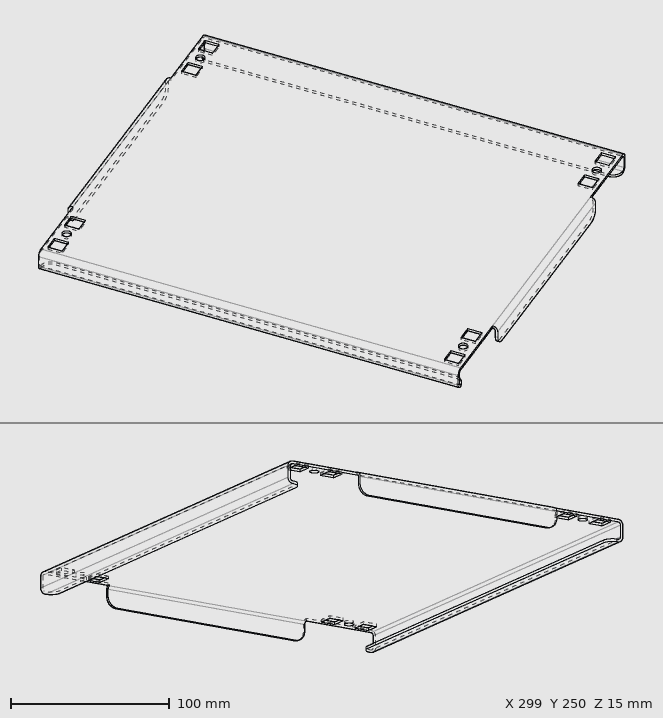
import cadquery as cq

length = 299.0
width = 250.0
height = 15.0

sheet = 1.8
bend_radius = 3.5
inner_radius = bend_radius - sheet
panel_length = length - 2 * bend_radius
lip_depth = 10.2
lip_corner_radius = 6.5

tab_width = 146.8
tab_corner_radius = 7.0

square_size = 10.0
round_diameter = 6.0
hole_edge_distance = 8.0
hole_pitch = 12.5
group_y = 100.2
group_x = panel_length / 2 - hole_edge_distance

under_panel = height - sheet


def box(x_range, y_range, z_range):
    """Axis-aligned box between the given limits."""
    (x0, x1), (y0, y1), (z0, z1) = x_range, y_range, z_range
    return cq.Workplane("XY").box(x1 - x0, y1 - y0, z1 - z0, centered=False).translate((x0, y0, z0))


def make_channel():
    """Panel with side walls and inward lips, bent along X."""
    half_length = panel_length / 2
    outer = box((-half_length, half_length), (-width / 2, width / 2), (0, height))
    outer = outer.edges("|X").fillet(bend_radius)
    inner_y = width / 2 - sheet
    cavity = box((-half_length, half_length), (-inner_y, inner_y), (sheet, under_panel))
    cavity = cavity.edges("|X").fillet(inner_radius)
    lip_end = width / 2 - lip_depth
    opening = box((-half_length, half_length), (-lip_end, lip_end), (0, sheet))
    channel = outer.cut(cavity).cut(opening)
    lip_corners = cq.selectors.BoxSelector(
        (-length, -lip_end - sheet, -sheet), (length, lip_end + sheet, 2 * sheet)
    )
    return channel.edges("|Z").edges(lip_corners).fillet(lip_corner_radius)


def make_end_tabs():
    """Both bent-down end tabs, joined by a strip of the panel."""
    tabs = box((-length / 2, length / 2), (-tab_width / 2, tab_width / 2), (0, height))
    tabs = tabs.edges("|Y and >Z").fillet(bend_radius)
    tabs = tabs.edges("|X and <Z").fillet(tab_corner_radius)
    inner_x = length / 2 - sheet
    cavity = box((-inner_x, inner_x), (-width / 2, width / 2), (0, under_panel))
    cavity = cavity.edges("|Y and >Z").fillet(inner_radius)
    return tabs.cut(cavity)


def make_hole_cutters():
    """Cutters through the panel only, leaving the lips below whole."""
    groups = [(sx * group_x, sy * group_y) for sx in (-1, 1) for sy in (-1, 1)]
    squares = [(x, y + step) for x, y in groups for step in (-hole_pitch, hole_pitch)]
    panel_bottom = cq.Workplane("XY").workplane(offset=under_panel)
    square_cutters = panel_bottom.pushPoints(squares).rect(square_size, square_size).extrude(sheet)
    round_cutters = panel_bottom.pushPoints(groups).circle(round_diameter / 2).extrude(sheet)
    return square_cutters.union(round_cutters)


result = make_channel().union(make_end_tabs()).cut(make_hole_cutters())